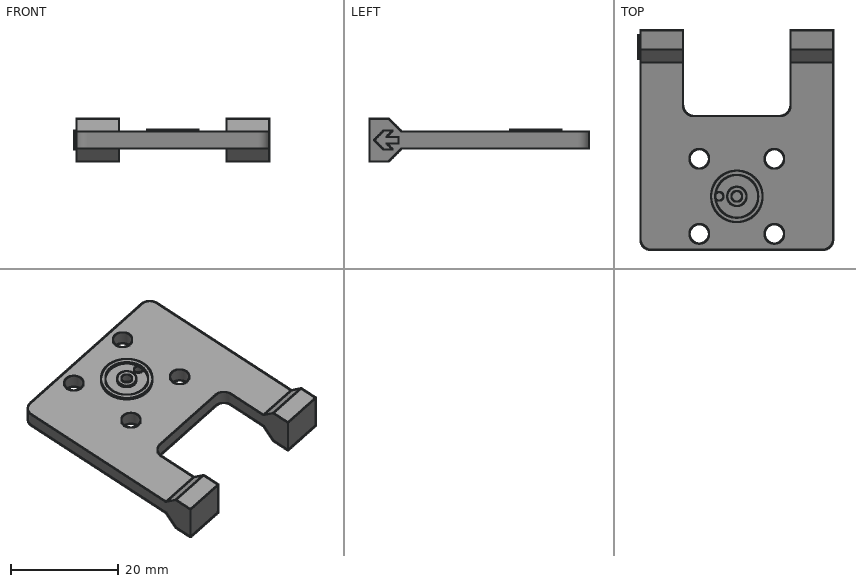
import cadquery as cq

plate_width = 36.0
plate_length = 41.0
plate_thickness = 3.2
corner_radius = 2.0
plate_top = plate_thickness / 2

notch_width = 20.0
notch_depth = 16.0

head_height = 8.0
head_length = 6.0
ramp_rise = (head_height - plate_thickness) / 2
arm_width = (plate_width - notch_width) / 2

pattern_center_y = 10.0
hole_spacing = 14.0
hole_diameter = 3.6

ring_outer_diameter = 9.6
ring_inner_diameter = 8.0
boss_diameter = 3.6
raised_height = 0.4
center_hole_diameter = 2.0
side_hole_diameter = 1.6
side_hole_offset = 3.3
blind_depth = 1.6

arrow_height = 0.4
arrow_tip_margin = 0.9
arrow_length = 4.5
arrow_half_width = 1.75
arrow_barb_length = 1.7
arrow_shaft_half_width = 0.6


def make_plate():
    plate = (
        cq.Workplane("XY")
        .box(plate_width, plate_length, plate_thickness, centered=(True, False, True))
        .edges("|Z and <Y")
        .fillet(corner_radius)
    )
    notch = (
        cq.Workplane("XY")
        .box(notch_width, notch_depth, plate_thickness, centered=(True, False, True))
        .edges("|Z and <Y")
        .fillet(corner_radius)
        .translate((0, plate_length - notch_depth, 0))
    )
    return plate.cut(notch)


def make_head(x_start):
    """Arm end of full height, starting at x_start and one arm width wide."""
    ramp_foot_y = plate_length - head_length
    ramp_top_y = ramp_foot_y + ramp_rise
    return (
        cq.Workplane("YZ", origin=(x_start, 0, 0))
        .moveTo(plate_length, head_height / 2)
        .lineTo(ramp_top_y, head_height / 2)
        .lineTo(ramp_foot_y, plate_top)
        .lineTo(ramp_foot_y, -plate_top)
        .lineTo(ramp_top_y, -head_height / 2)
        .lineTo(plate_length, -head_height / 2)
        .close()
        .extrude(arm_width)
    )


def make_arrow():
    tip_y = plate_length - arrow_tip_margin
    shoulder_y = tip_y - arrow_half_width
    barb_y = shoulder_y - arrow_barb_length
    shaft_root_y = barb_y + arrow_half_width - arrow_shaft_half_width
    return (
        cq.Workplane("YZ", origin=(-plate_width / 2, 0, 0))
        .moveTo(tip_y, 0)
        .lineTo(shoulder_y, arrow_half_width)
        .lineTo(barb_y, arrow_half_width)
        .lineTo(shaft_root_y, arrow_shaft_half_width)
        .lineTo(tip_y - arrow_length, arrow_shaft_half_width)
        .lineTo(tip_y - arrow_length, 0)
        .mirrorX()
        .extrude(-arrow_height)
    )


def make_ring_and_boss():
    top_face = cq.Workplane("XY", origin=(0, pattern_center_y, plate_top))
    ring = (
        top_face.circle(ring_outer_diameter / 2)
        .circle(ring_inner_diameter / 2)
        .extrude(raised_height)
    )
    boss = top_face.circle(boss_diameter / 2).extrude(raised_height)
    return ring.union(boss)


def make_mounting_holes():
    return (
        cq.Workplane("XY", origin=(0, pattern_center_y, -plate_top))
        .rect(hole_spacing, hole_spacing, forConstruction=True)
        .vertices()
        .circle(hole_diameter / 2)
        .extrude(plate_thickness)
    )


def make_blind_hole(x, diameter):
    """Hole from above, deep enough to pass the boss and end inside the plate."""
    floor_z = plate_top - blind_depth
    return (
        cq.Workplane("XY", origin=(x, pattern_center_y, floor_z))
        .circle(diameter / 2)
        .extrude(blind_depth + raised_height)
    )


result = make_plate()
for arm_start in (-plate_width / 2, notch_width / 2):
    result = result.union(make_head(arm_start))
result = (
    result.union(make_arrow())
    .cut(make_mounting_holes())
    .cut(make_blind_hole(-side_hole_offset, side_hole_diameter))
    .union(make_ring_and_boss())
    .cut(make_blind_hole(0, center_hole_diameter))
)